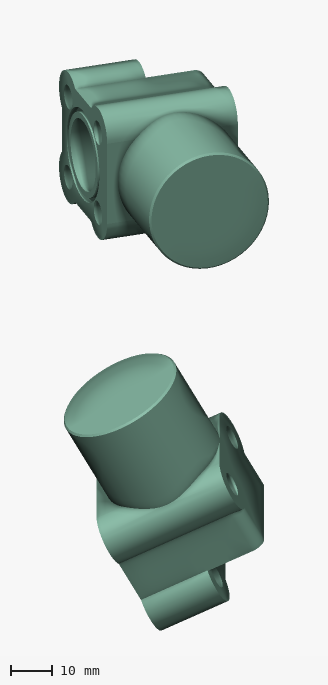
import cadquery as cq

HOLE_SPACING = 21.3
LUG_RADIUS = 6.6
HOLE_DIAMETER = 6.0
BODY_SIDE = 30.1
BODY_DEPTH = 33.3
REAR_BODY_LEFT = -5.95
REAR_EDGE_RADIUS = 3.0

OVERALL_LENGTH = 57.2
SPIGOT_DIAMETER = 30.55
SPIGOT_CHAMFER = 0.45

BORE_DIAMETER = 17.95
BORE_DEPTH = 14.9
GROOVE_INNER_DIAMETER = 21.0
GROOVE_OUTER_DIAMETER = 23.4
GROOVE_DEPTH = 1.5

hole_offset = HOLE_SPACING / 2
body_half = BODY_SIDE / 2
flange_half = hole_offset + LUG_RADIUS
spigot_end = OVERALL_LENGTH - flange_half
spigot_axis_y = BODY_DEPTH - SPIGOT_DIAMETER / 2
left_lug_depth = spigot_axis_y


def block(x_min, x_max, height, y_min, y_max):
    """Box centred on Z = 0."""
    size = (x_max - x_min, y_max - y_min, height)
    return cq.Workplane("XY").box(*size, centered=(False, False, True)).translate((x_min, y_min, 0))


def cylinder_from_front(diameter, depth, x=0, z=0):
    """Cylinder running from the front face toward +Y."""
    circle = cq.Workplane("XZ").center(x, z).circle(diameter / 2)
    return circle.extrude(-depth)


def make_body():
    front = block(-body_half, hole_offset, BODY_SIDE, 0, left_lug_depth)
    rear = block(REAR_BODY_LEFT, hole_offset, BODY_SIDE, left_lug_depth, BODY_DEPTH)
    rear = rear.edges(">Y and |X").fillet(REAR_EDGE_RADIUS)
    right_wall = block(hole_offset, flange_half, HOLE_SPACING, 0, BODY_DEPTH)
    body = front.union(rear).union(right_wall)
    for x, depth in ((-hole_offset, left_lug_depth), (hole_offset, BODY_DEPTH)):
        for z in (-hole_offset, hole_offset):
            body = body.union(cylinder_from_front(2 * LUG_RADIUS, depth, x, z))
    return body


def make_spigot():
    start = cq.Workplane("YZ", origin=(hole_offset, spigot_axis_y, 0))
    spigot = start.circle(SPIGOT_DIAMETER / 2).extrude(spigot_end - hole_offset)
    return spigot.faces(">X").chamfer(SPIGOT_CHAMFER)


def make_seal_groove():
    outer = cylinder_from_front(GROOVE_OUTER_DIAMETER, GROOVE_DEPTH)
    return outer.cut(cylinder_from_front(GROOVE_INNER_DIAMETER, GROOVE_DEPTH))


result = make_body().union(make_spigot())
result = result.cut(cylinder_from_front(BORE_DIAMETER, BORE_DEPTH))
result = result.cut(make_seal_groove())
for hole_x in (-hole_offset, hole_offset):
    for hole_z in (-hole_offset, hole_offset):
        result = result.cut(cylinder_from_front(HOLE_DIAMETER, BODY_DEPTH, hole_x, hole_z))